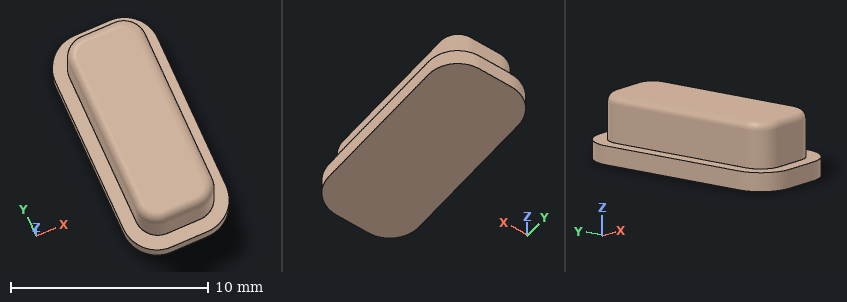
import cadquery as cq

flange_width = 5.7
flange_length = 12.2
flange_thickness = 1.0
flange_corner_radius = 1.85

total_height = 3.5
cap_margin = 0.75
cap_corner_radius = 1.2
cap_top_fillet = 0.5

cap_width = flange_width - 2 * cap_margin
cap_length = flange_length - 2 * cap_margin
cap_height = total_height - flange_thickness


def rounded_block(width, length, height, corner_radius):
    """Block standing on Z = 0, centred in X and Y, with rounded vertical edges."""
    block = cq.Workplane("XY").box(width, length, height, centered=(True, True, False))
    return block.edges("|Z").fillet(corner_radius)


flange = rounded_block(flange_width, flange_length, flange_thickness, flange_corner_radius)

cap = rounded_block(cap_width, cap_length, cap_height, cap_corner_radius)
cap = cap.faces(">Z").edges().fillet(cap_top_fillet)

result = flange.union(cap.translate((0, 0, flange_thickness)))